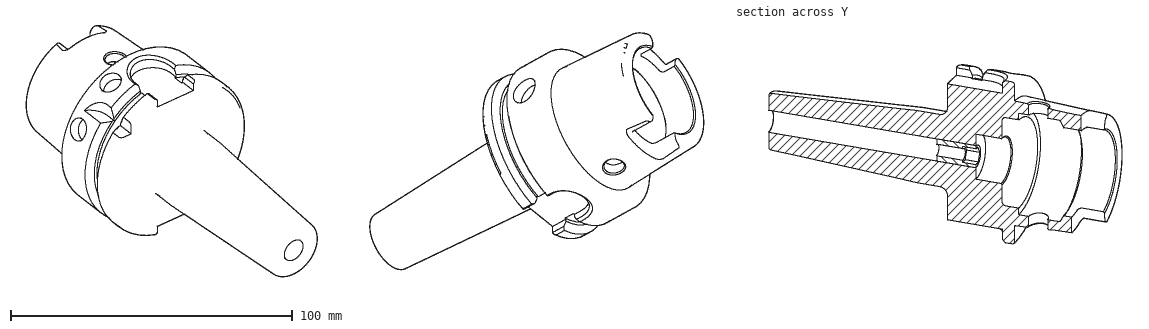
import cadquery as cq
import math

total_length = 127.0

taper_length = 32.0
taper_mouth_radius = 22.7
taper_root_radius = 24.2
taper_mouth_round = 1.0

flange_end = 58.0
flange_radius = 31.5
flange_round = 1.1
groove_start = 48.0
groove_end = 51.8
groove_floor_radius = 27.4
groove_cone_length = 1.7
groove_cone_angle = 30.0

shank_radius = 14.1
shank_root_round = 3.0
shank_cone_start = 69.7
shank_tip_radius = 11.0
shank_tip_round = 1.0

cavity_radius = 17.0
cavity_mouth_chamfer = 0.5
clamp_shoulder_start = 13.2
clamp_groove_radius = 19.5
clamp_shoulder_angle = 60.0
clamp_groove_end = 30.5
cavity_depth = 36.8
cavity_floor_round = 1.3
thread_radius = 8.6
thread_chamfer = 0.4
thread_depth = 10.2
bore_radius = 4.2

drive_slot_half_width = 6.2
drive_slot_top_depth = 6.3
drive_slot_bottom_depth = 10.0
drive_slot_edge_round = 3.0
drive_slot_edge_height = 20.8
drive_slot_corner_round = 1.5

cross_hole_x = 23.0
cross_hole_diameter = 7.2
cross_hole_chamfer = 0.5

keyway_half_width = 8.0
keyway_floor_height = 26.4
keyway_center_x = 44.8
keyway_chamfer = 1.1

notch_offset = 19.8
notch_end_radius = 8.0
notch_end_x = 44.2

rim_hole_x = 38.2
rim_hole_diameter = 8.1
rim_hole_depth = 4.0
rim_hole_middle_angle = 45.0
rim_hole_half_spread = 18.8

chip_hole_x = 38.3
chip_hole_diameter = 10.0
chip_hole_depth = 4.5
chip_hole_angle = -90.0

screw_length = 15.2
screw_hole_radius = 2.2
socket_flats = 6.0
socket_depth = 5.1
socket_turn = -5.0


def x_cylinder(radius, start, length):
    return cq.Workplane("YZ", origin=(start, 0, 0)).circle(radius).extrude(length)


def revolve_about_x(profile):
    return profile.close().revolve(360, (0, 0, 0), (1, 0, 0))


def make_taper():
    profile = (
        cq.Workplane("XY")
        .lineTo(0, taper_mouth_radius)
        .lineTo(taper_length, taper_root_radius)
        .lineTo(taper_length, 0)
    )
    return revolve_about_x(profile).faces("<X").edges().fillet(taper_mouth_round)


def make_shank():
    profile = (
        cq.Workplane("XY")
        .moveTo(flange_end, 0)
        .lineTo(flange_end, shank_radius + shank_root_round)
        .radiusArc((flange_end + shank_root_round, shank_radius), -shank_root_round)
        .lineTo(shank_cone_start, shank_radius)
        .lineTo(total_length, shank_tip_radius)
        .lineTo(total_length, 0)
    )
    return revolve_about_x(profile).faces(">X").edges().fillet(shank_tip_round)


def make_keyway():
    """U-shaped keyway above the axis, open at the shank side of the flange."""
    length = flange_end - keyway_center_x
    plane = cq.Workplane("XY", origin=(keyway_center_x, 0, keyway_floor_height))
    return (
        plane.moveTo(length, keyway_half_width)
        .lineTo(0, keyway_half_width)
        .threePointArc((-keyway_half_width, 0), (0, -keyway_half_width))
        .lineTo(length, -keyway_half_width)
        .close()
        .extrude(flange_radius)
    )


def make_gripper_groove():
    cone_depth = groove_cone_length / math.tan(math.radians(groove_cone_angle))
    cone_radius = flange_radius - cone_depth
    profile = (
        cq.Workplane("XY")
        .moveTo(groove_start, groove_floor_radius)
        .lineTo(groove_start, cone_radius)
        .lineTo(groove_start - groove_cone_length, flange_radius)
        .lineTo(groove_end + groove_cone_length, flange_radius)
        .lineTo(groove_end, cone_radius)
        .lineTo(groove_end, groove_floor_radius)
    )
    return revolve_about_x(profile)


def chamfer_keyway_rim(flange, side):
    """Chamfer where the keyway walls meet the flange rim, above (side 1) or below (side -1)."""
    wall_middle = (keyway_floor_height + flange_radius) / 2
    reach = keyway_half_width + keyway_chamfer
    rim_zone = cq.selectors.BoxSelector(
        (taper_length, -reach, side * wall_middle),
        (flange_end - keyway_chamfer, reach, side * flange_radius),
    )
    return flange.edges(rim_zone).chamfer(keyway_chamfer)


def make_flange():
    disc = x_cylinder(flange_radius, taper_length, flange_end - taper_length)
    rounded_disc = disc.edges("%CIRCLE").fillet(flange_round)
    upper_keyway = make_keyway()
    flange = disc.cut(upper_keyway).cut(upper_keyway.mirror("XY"))
    for side in (1, -1):
        flange = chamfer_keyway_rim(flange, side)
    return flange.intersect(rounded_disc).cut(make_gripper_groove())


def make_cavity():
    shoulder_rise = clamp_groove_radius - cavity_radius
    shoulder_end = clamp_shoulder_start + shoulder_rise / math.tan(math.radians(clamp_shoulder_angle))
    thread_end = cavity_depth + thread_depth
    profile = (
        cq.Workplane("XY")
        .lineTo(0, cavity_radius + cavity_mouth_chamfer)
        .lineTo(cavity_mouth_chamfer, cavity_radius)
        .lineTo(clamp_shoulder_start, cavity_radius)
        .lineTo(shoulder_end, clamp_groove_radius)
        .lineTo(clamp_groove_end, clamp_groove_radius)
        .lineTo(clamp_groove_end, cavity_radius)
        .lineTo(cavity_depth - cavity_floor_round, cavity_radius)
        .radiusArc((cavity_depth, cavity_radius - cavity_floor_round), cavity_floor_round)
        .lineTo(cavity_depth, thread_radius + thread_chamfer)
        .lineTo(cavity_depth + thread_chamfer, thread_radius)
        .lineTo(thread_end, thread_radius)
        .lineTo(thread_end, bore_radius)
        .lineTo(total_length, bore_radius)
        .lineTo(total_length, 0)
    )
    return revolve_about_x(profile)


def make_drive_slot(depth):
    """Slot above the axis whose walls flare outward in a round near the taper surface."""
    flare_half_width = drive_slot_half_width + drive_slot_edge_round
    flare_start = drive_slot_edge_height - drive_slot_edge_round
    reach = flange_radius
    return (
        cq.Workplane("YZ")
        .moveTo(drive_slot_half_width, 0)
        .lineTo(drive_slot_half_width, flare_start)
        .radiusArc((flare_half_width, drive_slot_edge_height), drive_slot_edge_round)
        .lineTo(reach, drive_slot_edge_height)
        .lineTo(reach, reach)
        .lineTo(-reach, reach)
        .lineTo(-reach, drive_slot_edge_height)
        .lineTo(-flare_half_width, drive_slot_edge_height)
        .radiusArc((-drive_slot_half_width, flare_start), drive_slot_edge_round)
        .lineTo(-drive_slot_half_width, 0)
        .close()
        .extrude(depth)
        .faces(">X")
        .edges("not(<Z or >Z or <Y or >Y)")
        .fillet(drive_slot_corner_round)
    )


def cut_cross_hole(taper):
    """Drill the solid taper from top to bottom and chamfer both rims of the hole."""
    radius = cross_hole_diameter / 2
    hole = cq.Workplane("XY", origin=(cross_hole_x, 0, 0)).circle(radius).extrude(flange_radius, both=True)
    rim_zone = cq.selectors.BoxSelector(
        (cross_hole_x - radius, -radius, -flange_radius),
        (cross_hole_x + radius, radius, flange_radius),
    )
    return taper.cut(hole).edges(rim_zone).edges("not(|Z)").chamfer(cross_hole_chamfer)


def make_notch():
    """Right-angled notch above the -Y side, with one end rounded about a vertical axis."""
    width = 2 * notch_end_radius
    length = flange_end - notch_end_x
    plane = cq.Workplane("XY", origin=(notch_end_x, -notch_offset - notch_end_radius, notch_offset))
    rounded_end = plane.circle(notch_end_radius).extrude(flange_radius)
    run_out = plane.center(length / 2, 0).rect(length, width).extrude(flange_radius)
    return rounded_end.union(run_out)


def make_rim_hole(x, diameter, depth, angle):
    """Radial blind hole; the angle is measured from +Z toward -Y."""
    return (
        cq.Workplane("XY", origin=(x, 0, flange_radius - depth))
        .circle(diameter / 2)
        .extrude(2 * depth)
        .rotate((0, 0, 0), (1, 0, 0), angle)
    )


def make_holder():
    holder = cut_cross_hole(make_taper()).union(make_flange()).union(make_shank())
    holder = holder.cut(make_cavity()).cut(make_notch())
    holder = holder.cut(make_drive_slot(drive_slot_top_depth))
    holder = holder.cut(make_drive_slot(drive_slot_bottom_depth).mirror("XY"))
    for offset in (-rim_hole_half_spread, rim_hole_half_spread):
        angle = rim_hole_middle_angle + offset
        holder = holder.cut(make_rim_hole(rim_hole_x, rim_hole_diameter, rim_hole_depth, angle))
    return holder.cut(make_rim_hole(chip_hole_x, chip_hole_diameter, chip_hole_depth, chip_hole_angle))


def make_stop_screw():
    """Screw filling the start of the bore, with a hexagon socket and a hole through it."""
    start = cavity_depth + thread_depth
    corner_diameter = socket_flats / math.cos(math.pi / 6)
    screw = x_cylinder(bore_radius, start, screw_length)
    socket = cq.Workplane("YZ", origin=(start, 0, 0)).polygon(6, corner_diameter).extrude(socket_depth)
    socket = socket.rotate((0, 0, 0), (1, 0, 0), socket_turn)
    return screw.cut(socket).cut(x_cylinder(screw_hole_radius, start, screw_length))


holder = make_holder()
stop_screw = make_stop_screw()
result = cq.Compound.makeCompound([holder.val(), stop_screw.val()])